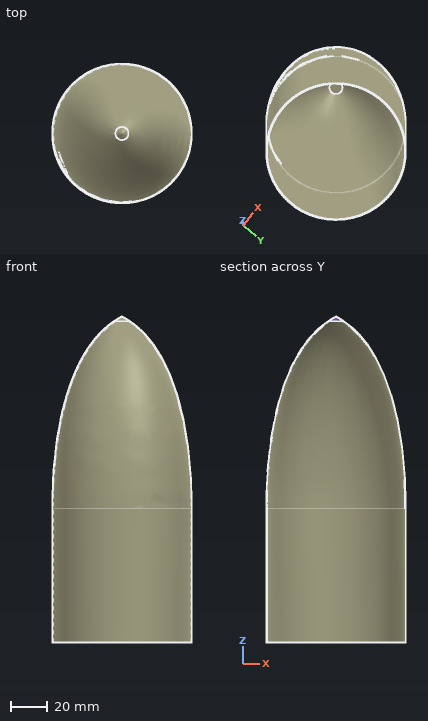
import cadquery as cq
import math

overall_height = 180.0
outer_diameter = 77.2
inner_diameter = 76.2
sleeve_height = 74.2

tip_handle_radial = 38.4
tip_handle_axial = 20.0
base_handle = 13.0

cavity_end_depth = 2.7

outer_radius = outer_diameter / 2
inner_radius = inner_diameter / 2
wall = outer_radius - inner_radius

tip_half_angle = math.atan2(tip_handle_radial, tip_handle_axial)
wall_along_axis = wall / math.sin(tip_half_angle)


def bullet(radius, tip_z):
    """Solid of revolution about Z: straight sleeve topped by a pointed, curved nose."""
    tip_handle_end = (tip_handle_radial - outer_radius + radius, tip_z - tip_handle_axial)
    base_handle_end = (radius, sleeve_height + base_handle)
    half_profile = (
        cq.Workplane("XZ")
        .lineTo(radius, 0)
        .lineTo(radius, sleeve_height)
        .bezier([base_handle_end, tip_handle_end, (0, tip_z)], includeCurrent=True)
        .close()
    )
    return half_profile.revolve(360, (0, 0, 0), (0, 1, 0))


def cavity():
    """Space inside the thin wall: open at the bottom, flat just below the tip."""
    pointed = bullet(inner_radius, overall_height - wall_along_axis)
    below_flat_end = cq.Workplane("XY").circle(outer_radius).extrude(overall_height - cavity_end_depth)
    return pointed.intersect(below_flat_end)


result = bullet(outer_radius, overall_height).cut(cavity())